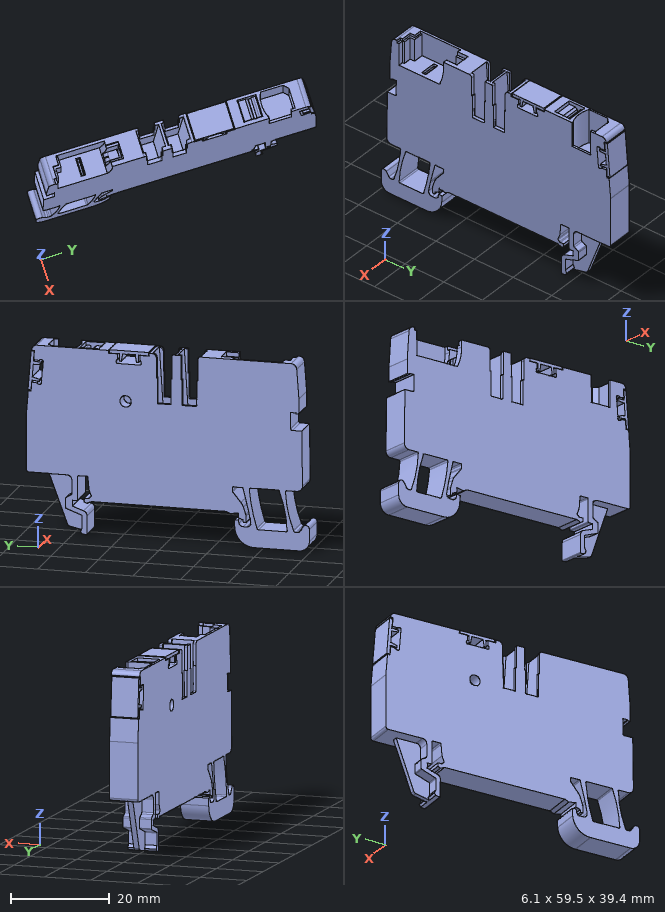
import cadquery as cq
import math

WIDTH = 6.1
HALF = WIDTH / 2
HALF_LENGTH = 29.75
TOP = 39.3
BASE = 12.5
RAIL = 7.2
FIRST_SLOT_Y = (-0.65, 2.2)
SECOND_SLOT_Y = (-6.05, -3.0)
SLOT_FLOOR = 28.85
SLOT_LEDGE = 34.25
LEDGE = 0.2

SLOPE_BOTTOM = 24.8
SLOPE_SETBACK = 1.2
SLOPE_ANGLE = math.degrees(math.atan(SLOPE_SETBACK / (TOP - SLOPE_BOTTOM)))

MARKER_WIDTH = 5.85
MARKER_LENGTH = 8.2
MARKER_THICKNESS = 0.7
MARKER_END_GAP = 0.2
MARKER_RAISE = 0.1
TOP_MARKER_Y = 8.2
SIDE_MARKER_Z = 33.9
PRONG_OUTER = 2.0
PRONG_LENGTH = 1.55
PRONG_ROOT = 0.7
PRONG_TIP = 0.4
NECK_HALF = 2.4
CAVITY_HALF = 2.6
NECK_DEPTH = 1.8
CAVITY_DEPTH = 2.6

HOLE_Y = 8.85
HOLE_Z = SLOT_FLOOR
HOLE_RADIUS = 1.2
HOLE_DEPTH = 3.0

FLANGE_X = (-2.45, 2.25)
FLANGED_POCKETS_Y = ((-1.5, 3.2), (-6.85, -2.0))
FLANGED_POCKET_DEPTH = 17.85
FLANGED_POCKET_DRAFT = 1.15

ENTRY_X = (-2.6, 2.55)
ENTRY_Y = (19.65, 25.4)
ENTRY_BULGE = 0.55
ENTRY_CORNER = 0.95
ENTRY_DEPTH = 8.3
ENTRY_WINDOW_Y = (19.75, 24.5)
ENTRY_WINDOW_DEPTH = 5.95

BUTTON_X = (-2.45, 2.25)
BUTTON_Y = (14.65, 18.6)
BUTTON_POCKET_DEPTH = 7.15
BUTTON_GAP = 0.2
BUTTON_TOP = 38.65
BUTTON_GROOVE = 37.8
BUTTON_GROOVE_Y = (16.95, 17.5)
BUTTON_BEAD_RADIUS = 0.5

BAY_X = -2.45
BAY_START = -13.55
BAY_FLOOR = 33.3
BAY_RIM_DEPTH = 0.6
FLARE_TOP = 37.8
FLARE_REACH = 1.1

CLIP_SHELF_X = (-1.55, 2.1)
CLIP_SHELF_Y = -10.9
CLIP_SHELF_DEPTH = 0.9
CLIP_SHAFT_X = (-1.0, 1.55)
CLIP_SHAFT_BACK = -11.1
CLIP_X = (-0.65, 1.2)
CLIP_BACK = -11.5
CLIP_FRONT = -14.4
CLIP_BOTTOM = 29.75
CLIP_TOP = 36.0
CLIP_SLIT = 0.2
CLIP_SLIT_DEPTH = 2.4
CLIP_ROUND = 0.9

BLADE_CENTRE = (0.2, -19.4)
BLADE_MOUTH = (3.8, 0.95)
BLADE_LEAD_IN = 0.35
BLADE_TAPER = 30.0
BLADE_DEPTH = 3.55

RIB_WIDTH = 1.15

BOW = "bow"

FOOT_BACK = [
    (18.1, 0.3),
    (18.4, 0.85),
    (18.0, 1.55),
    (18.0, 4.2, 0.2),
    (21.5, 5.5, 0.2),
    (21.5, 7.7, 0.3),
    (20.15, 8.45, 0.4),
    (20.15, BASE, 1.0),
]


def corner_points(before, corner, after):
    """Start, middle and end of the arc that rounds a corner, or the corner alone if it is sharp."""
    here = cq.Vector(*corner[:2])
    if len(corner) == 2:
        return [here]
    radius = corner[2]
    to_before = (cq.Vector(*before[:2]) - here).normalized()
    to_after = (cq.Vector(*after[:2]) - here).normalized()
    half_angle = to_before.getAngle(to_after) / 2
    setback = radius / math.tan(half_angle)
    bisector = (to_before + to_after).normalized()
    middle = here + bisector * (radius / math.sin(half_angle) - radius)
    return [here + to_before * setback, middle, here + to_after * setback]


def rounded_plate(corners, x_range=(-HALF, HALF)):
    """Extrude a closed (y, z) outline along X.

    A corner's optional third value is its radius, or BOW for a point that the curve
    between its two neighbours passes through. The first corner is a sharp one.
    """
    start = cq.Vector(*corners[0])
    sketch = cq.Workplane("YZ", origin=(x_range[0], 0, 0)).moveTo(start.x, start.y)
    bow_point = None
    for i in range(1, len(corners) + 1):
        corner = corners[i % len(corners)]
        if corner[-1] == BOW:
            bow_point = corner[:2]
            continue
        points = corner_points(corners[i - 1], corner, corners[(i + 1) % len(corners)])
        places = [point.toTuple()[:2] for point in points]
        if bow_point:
            sketch = sketch.threePointArc(bow_point, places[0])
        elif i < len(corners):
            sketch = sketch.lineTo(*places[0])
        if len(places) > 1:
            sketch = sketch.threePointArc(*places[1:])
        bow_point = None
    return sketch.close().extrude(x_range[1] - x_range[0])


def block(x_range, y_range, z_range):
    """Box between the given limits."""
    ranges = (x_range, y_range, z_range)
    sizes = [high - low for low, high in ranges]
    return cq.Workplane().box(*sizes, centered=False).translate(tuple(low for low, high in ranges))


def marker_at_origin():
    """Marker whose plate lies on Z = 0, with two tapered snap prongs pointing down."""
    top = MARKER_RAISE
    bottom = top - MARKER_THICKNESS
    half_length = MARKER_LENGTH / 2
    x_range = (-MARKER_WIDTH / 2, MARKER_WIDTH / 2)
    marker = block(x_range, (-half_length, half_length), (bottom, top))
    for side in (-1, 1):
        prong = [
            (side * PRONG_OUTER, bottom),
            (side * PRONG_OUTER, bottom - PRONG_LENGTH),
            (side * (PRONG_OUTER - PRONG_TIP), bottom - PRONG_LENGTH),
            (side * (PRONG_OUTER - PRONG_ROOT), bottom),
        ]
        marker = marker.union(rounded_plate(prong, x_range))
    return marker


def marker_recess_at_origin():
    """Seat for the marker plate, with an undercut cavity for its prongs."""
    through = (-HALF, HALF)
    half_length = MARKER_LENGTH / 2 + MARKER_END_GAP
    seat = block(through, (-half_length, half_length), (MARKER_RAISE - MARKER_THICKNESS, MARKER_RAISE))
    neck = block(through, (-NECK_HALF, NECK_HALF), (-NECK_DEPTH, 0))
    cavity = rounded_plate([
        (0, -CAVITY_DEPTH),
        (CAVITY_HALF, -CAVITY_DEPTH, 0.3),
        (CAVITY_HALF, -NECK_DEPTH, 0.3),
        (-CAVITY_HALF, -NECK_DEPTH, 0.3),
        (-CAVITY_HALF, -CAVITY_DEPTH, 0.3),
    ])
    return seat.union(neck).union(cavity)


def on_top(shape):
    return shape.translate((0, TOP_MARKER_Y, TOP))


def on_slope(shape):
    slope_y = HALF_LENGTH - (SIDE_MARKER_Z - SLOPE_BOTTOM) * math.tan(math.radians(SLOPE_ANGLE))
    tilted = shape.rotate((0, 0, 0), (1, 0, 0), SLOPE_ANGLE - 90)
    return tilted.translate((0, slope_y, SIDE_MARKER_Z))


def housing_plate():
    """Full-width side profile of the housing with both rail feet."""
    top_edge = [
        (HALF_LENGTH, SLOPE_BOTTOM),
        (HALF_LENGTH - SLOPE_SETBACK, TOP, 1.15),
        (FIRST_SLOT_Y[1] + LEDGE, TOP, 0.95),
        (FIRST_SLOT_Y[1] + LEDGE, SLOT_LEDGE),
        (FIRST_SLOT_Y[1], SLOT_LEDGE),
        (FIRST_SLOT_Y[1], SLOT_FLOOR),
        (FIRST_SLOT_Y[0], SLOT_FLOOR),
        (FIRST_SLOT_Y[0], SLOT_LEDGE),
        (FIRST_SLOT_Y[0] - LEDGE, SLOT_LEDGE),
        (FIRST_SLOT_Y[0] - LEDGE, TOP, 0.25),
        (SECOND_SLOT_Y[1] + LEDGE, TOP),
        (SECOND_SLOT_Y[1] + LEDGE, SLOT_LEDGE),
        (SECOND_SLOT_Y[1], SLOT_LEDGE),
        (SECOND_SLOT_Y[1], SLOT_FLOOR, 0.3),
        (SECOND_SLOT_Y[0], SLOT_FLOOR, 0.3),
        (SECOND_SLOT_Y[0], SLOT_LEDGE),
        (SECOND_SLOT_Y[0] - LEDGE, SLOT_LEDGE),
        (SECOND_SLOT_Y[0] - LEDGE, TOP, 0.6),
    ]
    end_face = [
        (-27.0, TOP, 1.2),
        (-27.55, 32.0),
        (-27.55, 28.85),
        (-26.9, 28.85),
        (-26.9, 29.05),
        (-25.8, 29.05),
        (-25.8, 25.3, 0.35),
        (-28.15, 25.3),
        (-28.3, BASE, 1.2),
    ]
    spring_foot = [
        (-24.7, BASE, 0.25),
        (-25.3, 8.0, BOW),
        (-26.55, 3.85, 0.5),
        (-27.55, 3.85, 0.6),
        (-28.4, 5.2),
        (-29.1, 5.5, BOW),
        (-HALF_LENGTH, 4.7),
        (-HALF_LENGTH, 0, 2.15),
        (-14.3, 0, 4.15),
        (-13.9, 5.55),
        (-14.8, 5.65),
        (-15.1, 4.3, 0.9),
        (-17.6, 4.3, 0.9),
        (-16.95, 7.75, 8.9),
        (-15.75, BASE, 0.25),
    ]
    rail_seat = [
        (-13.55, BASE, 0.25),
        (-13.55, 11.55, 0.3),
        (-15.7, 8.9, 3.0),
        (-16.4, 6.7, 1.2),
        (-16.4, 5.2),
        (-15.9, 5.2),
        (-15.75, 5.7),
        (-14.75, 6.1),
        (-14.75, 7.1),
        (-13.15, 6.8),
        (-12.2, RAIL),
        (16.0, RAIL),
        (16.95, 6.8),
        (17.55, 7.1),
        (17.55, 7.85),
        (16.6, 7.85, 0.3),
        (16.05, 8.4, 0.2),
        (16.6, 9.7),
        (16.85, BASE, 0.3),
    ]
    fixed_foot = [
        (18.9, BASE, 0.2),
        (18.9, RAIL, 0.2),
        (20.05, RAIL),
        (20.05, 6.0),
        (16.95, 4.95, 1.1),
        (16.95, 0.1, 0.2),
    ]
    corner = [(HALF_LENGTH, BASE, 0.6)]
    return rounded_plate(top_edge + end_face + spring_foot + rail_seat + fixed_foot + FOOT_BACK + corner)


def spring_window():
    """Opening between the two legs of the spring foot."""
    return rounded_plate([
        (-20.2, BASE),
        (-23.3, BASE, 0.25),
        (-24.45, 8.6, BOW),
        (-25.1, 3.85, 0.25),
        (-18.8, 3.85, 0.35),
        (-17.6, 8.6, BOW),
        (-17.1, BASE, 0.3),
    ])


def foot_rib():
    """Thin stiffening rib on the outer side of the fixed foot, at mid thickness."""
    outer_edge = [(25.9, BASE), (21.65, 1.1, 0.7)]
    return rounded_plate(outer_edge + FOOT_BACK, (-RIB_WIDTH / 2, RIB_WIDTH / 2))


def test_hole():
    return cq.Workplane("YZ", origin=(-HALF, HOLE_Y, HOLE_Z)).circle(HOLE_RADIUS).extrude(HOLE_DEPTH)


def flanged_pocket(y_range):
    """Drafted pocket between the side flanges of a cross slot."""
    low, high = y_range
    floor = TOP - FLANGED_POCKET_DEPTH
    return rounded_plate([
        (low, TOP),
        (high, TOP),
        (high - FLANGED_POCKET_DRAFT, floor),
        (low + FLANGED_POCKET_DRAFT, floor),
    ], FLANGE_X)


def wire_entry():
    """Wire entry with a bowed inner side and a window through the +X wall."""
    left, right = ENTRY_X
    inner, outer = ENTRY_Y
    pocket = (
        cq.Workplane("XY", origin=(0, 0, TOP - ENTRY_DEPTH))
        .moveTo(left, inner)
        .threePointArc(((left + right) / 2, inner - ENTRY_BULGE), (right, inner))
        .lineTo(right, outer)
        .lineTo(left + ENTRY_CORNER, outer)
        .lineTo(left, outer - ENTRY_CORNER)
        .close()
        .extrude(ENTRY_DEPTH)
    )
    window = block((0, HALF), ENTRY_WINDOW_Y, (TOP - ENTRY_WINDOW_DEPTH, TOP))
    return pocket.union(window)


def button_pocket():
    return block(BUTTON_X, BUTTON_Y, (TOP - BUTTON_POCKET_DEPTH, TOP))


def bay_layer(steps, bottom, height):
    """Layer of the plug bay; its far end descends in stairs given as (x, y) step starts."""
    points = [(HALF, BAY_START), (BAY_X, BAY_START)]
    for i, (x, y) in enumerate(steps):
        next_x = steps[i + 1][0] if i + 1 < len(steps) else HALF
        points += [(x, y), (next_x, y)]
    return cq.Workplane("XY", origin=(0, 0, bottom)).polyline(points).close().extrude(height)


def flare():
    """Material left under the start of the bay: a wall that curves out towards the bay floor."""
    drop = FLARE_TOP - BAY_FLOOR
    radius = (drop**2 + FLARE_REACH**2) / (2 * FLARE_REACH)
    half_turn = math.asin(drop / radius) / 2
    middle_y = BAY_START - radius * (1 - math.cos(half_turn))
    middle_z = FLARE_TOP - radius * math.sin(half_turn)
    return (
        cq.Workplane("YZ", origin=(BAY_X, 0, 0))
        .moveTo(BAY_START, FLARE_TOP)
        .threePointArc((middle_y, middle_z), (BAY_START - FLARE_REACH, BAY_FLOOR))
        .lineTo(BAY_START, BAY_FLOOR)
        .close()
        .extrude(HALF - BAY_X)
    )


def plug_bay():
    lower = bay_layer([(BAY_X, -23.5), (0.0, -24.6), (1.9, -25.1)], BAY_FLOOR, TOP - BAY_FLOOR)
    rim = bay_layer([(BAY_X, -23.85), (-0.55, -25.05), (1.95, -25.6)], TOP - BAY_RIM_DEPTH, BAY_RIM_DEPTH)
    return lower.union(rim).cut(flare())


def clip_recess():
    """Shelf and narrower shaft for the clip, both open towards the plug bay."""
    shelf = block(CLIP_SHELF_X, (BAY_START, CLIP_SHELF_Y), (TOP - CLIP_SHELF_DEPTH, TOP))
    shaft = block(CLIP_SHAFT_X, (CLIP_FRONT, CLIP_SHAFT_BACK), (CLIP_BOTTOM, TOP))
    return shelf.union(shaft)


def blade_slot():
    """Slot in the bay floor with a tapered lead-in."""
    length, width = BLADE_MOUTH
    inset = BLADE_LEAD_IN * math.tan(math.radians(BLADE_TAPER))
    floor = cq.Workplane("XY", origin=(*BLADE_CENTRE, BAY_FLOOR))
    lead_in = floor.rect(length, width).extrude(-BLADE_LEAD_IN, taper=BLADE_TAPER)
    shaft = floor.rect(length - 2 * inset, width - 2 * inset).extrude(-BLADE_DEPTH)
    return lead_in.union(shaft)


def make_housing():
    body = housing_plate().cut(spring_window()).union(foot_rib())
    for y_range in FLANGED_POCKETS_Y:
        body = body.cut(flanged_pocket(y_range))
    for place in (on_top, on_slope):
        body = body.cut(place(marker_recess_at_origin()))
    for cutter in (test_hole(), wire_entry(), button_pocket(), plug_bay(), clip_recess(), blade_slot()):
        body = body.cut(cutter)
    return body


def make_button():
    """Release button with a rounded finger bead, a groove and a sloped step across its top."""
    x_range = (BUTTON_X[0] + BUTTON_GAP, BUTTON_X[1] - BUTTON_GAP)
    y_low = BUTTON_Y[0] + BUTTON_GAP
    y_high = BUTTON_Y[1] - BUTTON_GAP
    bottom = TOP - BUTTON_POCKET_DEPTH
    return rounded_plate([
        (y_low, bottom),
        (y_high, bottom),
        (y_high, BUTTON_TOP),
        (BUTTON_GROOVE_Y[1], BUTTON_TOP, BUTTON_BEAD_RADIUS),
        (BUTTON_GROOVE_Y[1], BUTTON_GROOVE),
        (BUTTON_GROOVE_Y[0], BUTTON_GROOVE),
        (16.85, 38.25),
        (16.3, BUTTON_TOP),
        (y_low, BUTTON_TOP),
    ], x_range)


def make_clip():
    """Forked clip in the shaft behind the plug bay, with a rounded front and a central slit."""
    clip = rounded_plate([
        (CLIP_BACK, CLIP_BOTTOM),
        (CLIP_BACK, CLIP_TOP),
        (CLIP_FRONT, CLIP_TOP, CLIP_ROUND),
        (CLIP_FRONT, CLIP_BOTTOM),
    ], CLIP_X)
    middle = sum(CLIP_X) / 2
    slit_x = (middle - CLIP_SLIT / 2, middle + CLIP_SLIT / 2)
    return clip.cut(block(slit_x, (CLIP_FRONT, BAY_START), (CLIP_TOP - CLIP_SLIT_DEPTH, CLIP_TOP)))


housing = make_housing()
button = make_button()
clip = make_clip()
markers = [place(marker_at_origin()) for place in (on_top, on_slope)]

result = cq.Compound.makeCompound(
    [housing.val(), button.val(), clip.val(), *[marker.val() for marker in markers]]
)